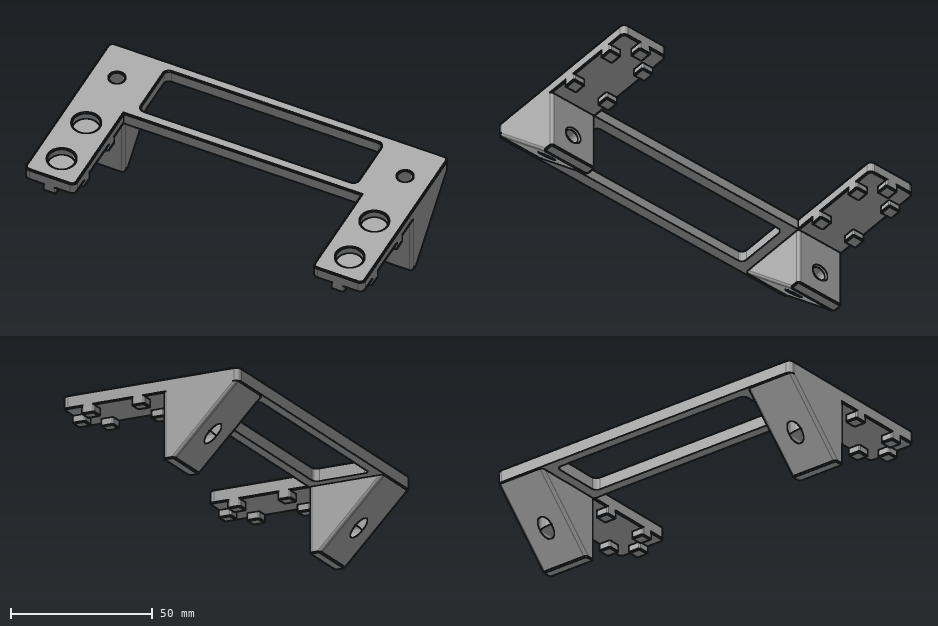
import cadquery as cq
LENGTH = 133.0
DEPTH = 70.0
HEIGHT = 30.0

PLATE_THICKNESS = 5.0
ARM_WIDTH = 20.0
BAR_DEPTH = 30.0
CORNER_RADIUS = 2.0
EDGE_CHAMFER = 0.4

OPENING_LENGTH = 85.1
OPENING_DEPTH = 22.0
OPENING_BACK_MARGIN = 4.0

GUSSET_BACK_STEP = 0.8
GUSSET_EDGE_RADIUS = 1.0

HOLE_DIAMETER = 5.5
PLATE_HOLE_SETBACK = 15.0
GUSSET_HOLE_DROP = 20.0
GUSSET_HOLE_CHAMFER = 0.7
POCKET_DIAMETER = 10.0
POCKET_DEPTH = 3.0
POCKET_SETBACKS = (40.0, 60.0)

PEG_SIZE = 5.0
PEG_HEIGHT = 2.9
PEG_EDGE_RADIUS = 0.5

ARM_CENTRE = (LENGTH - ARM_WIDTH) / 2
SIDES = (-1, 1)


def make_plate():
    """U-shaped plate with rounded outer corners and a chamfered top."""
    half = LENGTH / 2
    inner = half - ARM_WIDTH
    plate = (
        cq.Workplane("XY")
        .workplane(offset=-PLATE_THICKNESS)
        .polyline([
            (-half, 0), (half, 0), (half, -DEPTH), (inner, -DEPTH),
            (inner, -BAR_DEPTH), (-inner, -BAR_DEPTH), (-inner, -DEPTH), (-half, -DEPTH),
        ])
        .close()
        .extrude(PLATE_THICKNESS)
    )
    tip_edges = plate.faces("<Y").edges("|Z")
    back_edges = plate.faces(">Y").edges("|Z")
    plate = plate.newObject(tip_edges.vals() + back_edges.vals()).fillet(CORNER_RADIUS)
    opening = (
        cq.Workplane("XY")
        .box(OPENING_LENGTH, OPENING_DEPTH, 2 * PLATE_THICKNESS)
        .edges("|Z").fillet(CORNER_RADIUS)
        .translate((0, -OPENING_BACK_MARGIN - OPENING_DEPTH / 2, 0))
    )
    return plate.cut(opening).faces(">Z").edges().chamfer(EDGE_CHAMFER)


def make_gusset(centre_x):
    """Triangular gusset with a 45 degree back slope and rounded edges."""
    drop = HEIGHT - PLATE_THICKNESS
    gusset = (
        cq.Workplane("YZ")
        .polyline([
            (-BAR_DEPTH, -PLATE_THICKNESS), (-BAR_DEPTH, -HEIGHT),
            (-GUSSET_BACK_STEP - drop, -HEIGHT), (-GUSSET_BACK_STEP, -PLATE_THICKNESS),
        ])
        .close()
        .extrude(ARM_WIDTH / 2, both=True)
    )
    slope = gusset.faces(cq.selectors.DirectionMinMaxSelector(cq.Vector(0, 1, -1)))
    slope_sides = slope.edges("not |X")
    gusset = slope_sides.fillet(GUSSET_EDGE_RADIUS)
    gusset = gusset.faces("<Y").edges("|Z").fillet(GUSSET_EDGE_RADIUS)
    gusset = gusset.faces("<Z").edges().chamfer(EDGE_CHAMFER)
    return gusset.translate((centre_x, 0, 0))


def make_pegs(centre_x):
    """Pegs on both arm sides beside each pocket and one in the middle of the tip.

    They start inside the plate, so that they also close its chamfered lower edge.
    """
    side_offset = (ARM_WIDTH - PEG_SIZE) / 2
    places = [(side * side_offset, -setback) for side in SIDES for setback in POCKET_SETBACKS]
    places.append((0, PEG_SIZE / 2 - DEPTH))
    return (
        cq.Workplane("XY")
        .workplane(offset=EDGE_CHAMFER - PLATE_THICKNESS)
        .pushPoints(places)
        .rect(PEG_SIZE, PEG_SIZE)
        .extrude(-PEG_HEIGHT - EDGE_CHAMFER)
        .edges("|Z").fillet(PEG_EDGE_RADIUS)
        .faces("<Z").edges().chamfer(EDGE_CHAMFER)
        .translate((centre_x, 0, 0))
    )


def make_bore(diameter, depth, chamfer):
    """Cutter going down from z = 0, with a conical lead-in at its mouth."""
    radius = diameter / 2
    mouth = radius + chamfer
    return (
        cq.Workplane("XZ")
        .polyline([(0, 0), (mouth, 0), (radius, -chamfer), (radius, -depth), (0, -depth)])
        .close()
        .revolve(360, (0, 0), (0, 1))
    )


def chamfer_arm_undersides(body):
    """Chamfer the lower edges of both arms in front of the gussets."""
    under_arms = cq.selectors.BoxSelector(
        (-LENGTH, -2 * DEPTH, -PLATE_THICKNESS - EDGE_CHAMFER),
        (LENGTH, -BAR_DEPTH - EDGE_CHAMFER, -PLATE_THICKNESS + EDGE_CHAMFER),
    )
    return body.edges(under_arms).chamfer(EDGE_CHAMFER)


result = make_plate()
for side in SIDES:
    result = result.union(make_gusset(side * ARM_CENTRE))
result = chamfer_arm_undersides(result)
for side in SIDES:
    arm_x = side * ARM_CENTRE
    result = result.union(make_pegs(arm_x))
    plate_hole = make_bore(HOLE_DIAMETER, HEIGHT, EDGE_CHAMFER)
    result = result.cut(plate_hole.translate((arm_x, -PLATE_HOLE_SETBACK, 0)))
    gusset_hole = make_bore(HOLE_DIAMETER, BAR_DEPTH, GUSSET_HOLE_CHAMFER)
    gusset_hole = gusset_hole.rotate((0, 0, 0), (1, 0, 0), 90)
    result = result.cut(gusset_hole.translate((arm_x, -BAR_DEPTH, -GUSSET_HOLE_DROP)))
    for setback in POCKET_SETBACKS:
        pocket = make_bore(POCKET_DIAMETER, POCKET_DEPTH, EDGE_CHAMFER)
        result = result.cut(pocket.translate((arm_x, -setback, 0)))